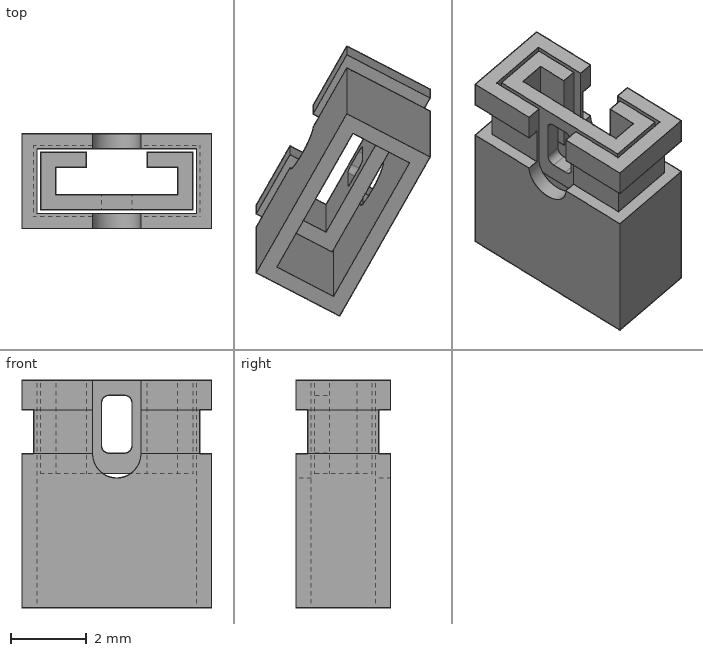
import cadquery as cq

length = 5.0
width = 2.5
height = 6.0
wall = 0.4
band_height = 0.785
waist_bottom_depth = 1.94
waist_recess = 0.31
slot_width = 1.27
slot_radius = slot_width / 2

clearance = 0.09
clip_thickness = 0.4
clip_height = 2.46
lip_gap = 1.595
window_width = 0.8
window_height = 1.52
window_top_depth = 0.4
window_corner_radius = 0.2

top = height
waist_height = waist_bottom_depth - band_height
waist_bottom = top - waist_bottom_depth
cavity_length = length - 2 * wall
cavity_width = width - 2 * wall
clip_length = cavity_length - 2 * clearance
clip_width = cavity_width - 2 * clearance
clip_bottom = top - clip_height


def upright_block(x_size, y_size, z_size, bottom):
    """Box centred on the Z axis, standing on the given level."""
    return cq.Workplane("XY").box(x_size, y_size, z_size, centered=(True, True, False)).translate((0, 0, bottom))


def waist_groove():
    """Ring that is removed around the outside to form the waist."""
    core = upright_block(length - 2 * waist_recess, width - 2 * waist_recess, waist_height, waist_bottom)
    return upright_block(length, width, waist_height, waist_bottom).cut(core)


def wall_slot():
    """Open-topped slot with a half-round bottom, running through along Y."""
    return (
        cq.Workplane("XZ")
        .moveTo(-slot_radius, top)
        .lineTo(-slot_radius, waist_bottom)
        .threePointArc((0, waist_bottom - slot_radius), (slot_radius, waist_bottom))
        .lineTo(slot_radius, top)
        .close()
        .extrude(width / 2, both=True)
    )


def make_housing():
    """Rectangular sleeve open at both ends."""
    sleeve = upright_block(length, width, height, 0)
    cavity = upright_block(cavity_length, cavity_width, height, 0)
    return sleeve.cut(cavity).cut(waist_groove()).cut(wall_slot())


def clip_window():
    """Rounded opening through the clip's front web."""
    window_bottom = top - window_top_depth - window_height
    return (
        upright_block(window_width, clip_thickness, window_height, window_bottom)
        .edges("|Y")
        .fillet(window_corner_radius)
        .translate((0, (clip_thickness - clip_width) / 2, 0))
    )


def make_clip():
    """C-shaped contact with its lips towards +Y."""
    inner_length = clip_length - 2 * clip_thickness
    inner_width = clip_width - 2 * clip_thickness
    inside = upright_block(inner_length, inner_width, clip_height, clip_bottom)
    lip_y = (clip_width - clip_thickness) / 2
    lip_opening = upright_block(lip_gap, clip_thickness, clip_height, clip_bottom).translate((0, lip_y, 0))
    body = upright_block(clip_length, clip_width, clip_height, clip_bottom)
    return body.cut(inside).cut(lip_opening).cut(clip_window())


housing = make_housing()
clip = make_clip()
result = cq.Compound.makeCompound([housing.val(), clip.val()])